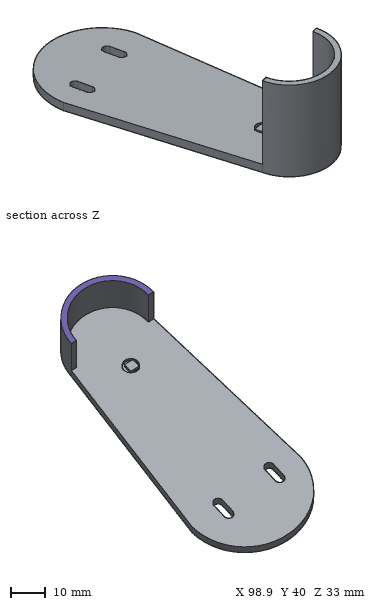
import cadquery as cq

length = 98.9
plate_thickness = 3.0
wide_radius = 20.0
wide_arc_depth = 19.1

cup_radius = 15.0
cup_wall = 2.0
total_height = 33.0
cup_x = length - cup_radius
cup_y = -0.7

slot_length = 8.0
slot_width = 3.1
slot_centers = [(18.7, 8.8), (19.7, -10.6)]

recess_diameter = 5.0
recess_center = (74.8, -0.4)
recess_depth = 1.0
post_side = 3.1
post_center = (74.7, -0.7)


def make_plate():
    return (
        cq.Workplane("XY")
        .moveTo(wide_arc_depth, wide_radius)
        .threePointArc((0, 0), (wide_arc_depth, -wide_radius))
        .lineTo(cup_x, cup_y - cup_radius)
        .threePointArc((length, cup_y), (cup_x, cup_y + cup_radius))
        .close()
        .extrude(plate_thickness)
    )


def make_cup_wall():
    inner_radius = cup_radius - cup_wall
    return (
        cq.Workplane("XY")
        .moveTo(cup_x, cup_y - cup_radius)
        .threePointArc((length, cup_y), (cup_x, cup_y + cup_radius))
        .lineTo(cup_x, cup_y + inner_radius)
        .threePointArc((cup_x + inner_radius, cup_y), (cup_x, cup_y - inner_radius))
        .close()
        .extrude(total_height)
    )


def make_slots():
    return (
        cq.Workplane("XY")
        .pushPoints(slot_centers)
        .slot2D(slot_length, slot_width)
        .extrude(plate_thickness)
    )


def make_recess():
    floor = cq.Workplane("XY").workplane(offset=plate_thickness - recess_depth)
    pocket = floor.center(*recess_center).circle(recess_diameter / 2).extrude(recess_depth)
    floor = cq.Workplane("XY").workplane(offset=plate_thickness - recess_depth)
    post = floor.center(*post_center).rect(post_side, post_side).extrude(recess_depth)
    return pocket.cut(post)


result = make_plate().union(make_cup_wall()).cut(make_slots()).cut(make_recess())